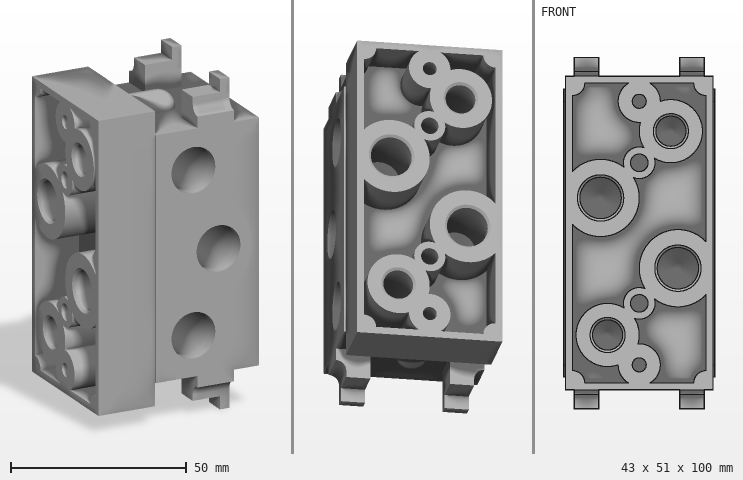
import cadquery as cq
import math

BODY_WIDTH = 43.0
BODY_DEPTH = 33.0
BODY_HEIGHT = 75.0

PLATE_WIDTH = 42.0
PLATE_DEPTH = 18.0
PLATE_HEIGHT = 89.3
WALL = 2.0
POCKET_DEPTH = 14.0
CORNER_PILLAR_RADIUS = 3.5

JOINT_Y = -BODY_DEPTH
FRONT_Y = JOINT_Y - PLATE_DEPTH
POCKET_WIDTH = PLATE_WIDTH - 2 * WALL
POCKET_HEIGHT = PLATE_HEIGHT - 2 * WALL

LARGE_PORT_X = 11.0
LARGE_PORT_Z = -10.0
LARGE_PORT_RADIUS = 5.9
LARGE_BOSS_RADIUS = 11.0

SMALL_PORT_X = 9.0
SMALL_PORT_Z = 29.0
SMALL_PORT_RADIUS = 4.3
SMALL_BOSS_RADIUS = 9.0

PORT_DEPTH = 20.0
PORT_CHAMFER = 0.7
DRILL_POINT_ANGLE = 118.0

PIN_HOLE_Z = 20.0
PIN_HOLE_RADIUS = 2.5
PIN_BOSS_RADIUS = 4.5
PIN_HOLE_DEPTH = POCKET_DEPTH

SCREW_HOLE_Z = BODY_HEIGHT / 2
SCREW_HOLE_RADIUS = 2.0
SCREW_BOSS_RADIUS = 6.0

COVER_RADIUS = 5.0
COVER_LENGTH = 11.5
SCREW_HOLE_DEPTH = PLATE_DEPTH + COVER_LENGTH

CHANNEL_RADIUS = 7.0
OUTER_CHANNEL_Y = -21.0
OUTER_CHANNEL_Z = 25.0
MIDDLE_CHANNEL_Y = -13.0

PART_HEIGHT = 100.0
LUG_REAR_Y = -8.0
LUG_DEPTH = 11.7
LUG_INNER_X = 11.5
LUG_OUTER_X = 18.5
LUG_FOOT_Z = 41.0
HOOK_DEPTH = 3.0
HOOK_HEIGHT = 4.0
LUG_FILLET = BODY_WIDTH / 2 - LUG_OUTER_X


def box(width, depth, height, rear_y):
    """Block centred on X and Z, reaching forward (-Y) from rear_y."""
    return cq.Workplane("XY").box(width, depth, height).translate((0, rear_y - depth / 2, 0))


def rod(x, z, radius, front_y, length):
    """Cylinder along Y, running rearward (+Y) from front_y."""
    return cq.Workplane("XZ", origin=(x, front_y, z)).circle(radius).extrude(-length)


def rods_by_half_turn(x, z, radius, front_y, length):
    """A rod and its copy turned half a turn about the Y axis."""
    return rod(x, z, radius, front_y, length).union(rod(-x, -z, radius, front_y, length))


def port(x, z, radius):
    """Drilled port with a chamfered mouth and a conical bottom."""
    tip = PORT_DEPTH + radius / math.tan(math.radians(DRILL_POINT_ANGLE / 2))
    return (
        cq.Workplane("XY")
        .polyline([
            (0, 0),
            (radius + PORT_CHAMFER, 0),
            (radius, PORT_CHAMFER),
            (radius, PORT_DEPTH),
            (0, tip),
        ])
        .close()
        .revolve(360, (0, 0, 0), (0, 1, 0))
        .translate((x, FRONT_Y, z))
    )


def pocketed_plate():
    """Connection plate with its front pocket and the bosses standing in it."""
    plate = box(PLATE_WIDTH, PLATE_DEPTH, PLATE_HEIGHT, JOINT_Y)
    pocket = box(POCKET_WIDTH, POCKET_DEPTH, POCKET_HEIGHT, FRONT_Y + POCKET_DEPTH)

    bosses = [
        (LARGE_PORT_X, LARGE_PORT_Z, LARGE_BOSS_RADIUS),
        (SMALL_PORT_X, SMALL_PORT_Z, SMALL_BOSS_RADIUS),
        (0, PIN_HOLE_Z, PIN_BOSS_RADIUS),
        (0, SCREW_HOLE_Z, SCREW_BOSS_RADIUS),
        (POCKET_WIDTH / 2, POCKET_HEIGHT / 2, CORNER_PILLAR_RADIUS),
        (-POCKET_WIDTH / 2, POCKET_HEIGHT / 2, CORNER_PILLAR_RADIUS),
    ]
    for x, z, radius in bosses:
        pocket = pocket.cut(rods_by_half_turn(x, z, radius, FRONT_Y, POCKET_DEPTH))
    return plate.cut(pocket)


def lug():
    """Clip lug at the +X, +Z corner: wide foot, concave flank, post and rear hook."""
    body_top = BODY_HEIGHT / 2
    hook_top = PART_HEIGHT / 2
    side_x = BODY_WIDTH / 2
    arc_reach = LUG_FILLET * math.sqrt(0.5)
    fillet_top = LUG_FOOT_Z + LUG_FILLET

    profile = (
        cq.Workplane("XZ", origin=(0, LUG_REAR_Y, 0))
        .moveTo(LUG_INNER_X, body_top)
        .lineTo(side_x, body_top)
        .lineTo(side_x, LUG_FOOT_Z)
        .threePointArc((side_x - arc_reach, fillet_top - arc_reach), (LUG_OUTER_X, fillet_top))
        .lineTo(LUG_OUTER_X, hook_top)
        .lineTo(LUG_INNER_X, hook_top)
        .close()
        .extrude(LUG_DEPTH)
    )
    step = box(BODY_WIDTH, LUG_DEPTH, HOOK_HEIGHT, LUG_REAR_Y - HOOK_DEPTH)
    return profile.cut(step.translate((0, 0, hook_top - HOOK_HEIGHT / 2)))


def screw_cover(z):
    """Round-ended cylinder reaching rearward from the plate."""
    ball = cq.Workplane("XY").sphere(COVER_RADIUS).translate((0, JOINT_Y + COVER_LENGTH, z))
    return rod(0, z, COVER_RADIUS, JOINT_Y, COVER_LENGTH).union(ball)


def channel(y, z):
    """Round channel along the full width of the body."""
    return (
        cq.Workplane("YZ", origin=(-BODY_WIDTH / 2, y, z))
        .circle(CHANNEL_RADIUS)
        .extrude(BODY_WIDTH)
    )


def all_ports():
    """The four chamfered ports, in pairs related by a half turn."""
    ports = cq.Workplane("XY")
    for side in (1, -1):
        large = port(side * LARGE_PORT_X, side * LARGE_PORT_Z, LARGE_PORT_RADIUS)
        small = port(side * SMALL_PORT_X, side * SMALL_PORT_Z, SMALL_PORT_RADIUS)
        ports = ports.add(large).add(small)
    return ports.combine()


result = box(BODY_WIDTH, BODY_DEPTH, BODY_HEIGHT, 0).union(pocketed_plate())

for end in (1, -1):
    result = result.union(screw_cover(end * SCREW_HOLE_Z))

upper_lugs = lug().union(lug().mirror("YZ"))
result = result.union(upper_lugs).union(upper_lugs.mirror("XY"))

result = result.cut(channel(MIDDLE_CHANNEL_Y, 0))
for end in (1, -1):
    result = result.cut(channel(OUTER_CHANNEL_Y, end * OUTER_CHANNEL_Z))

result = result.cut(all_ports())
result = result.cut(rods_by_half_turn(0, PIN_HOLE_Z, PIN_HOLE_RADIUS, FRONT_Y, PIN_HOLE_DEPTH))
result = result.cut(rods_by_half_turn(0, SCREW_HOLE_Z, SCREW_HOLE_RADIUS, FRONT_Y, SCREW_HOLE_DEPTH))